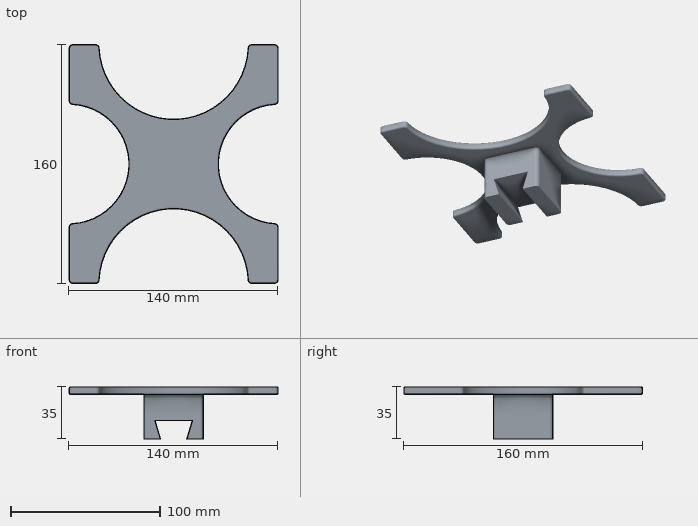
import cadquery as cq

plate_length_x = 140.0
plate_length_y = 160.0
plate_thickness = 5.0
end_bite_radius = 50.0
side_bite_radius = 40.0
plate_corner_radius = 2.5
plate_rim_radius = 1.0

block_side = 40.0
block_height = 30.0
block_corner_radius = 2.5

slot_depth = 12.5
slot_top_width = 25.0
slot_mouth_width = 17.5


def make_plate():
    """X-shaped plate with its underside at Z = 0."""
    plate = cq.Workplane("XY").rect(plate_length_x, plate_length_y).extrude(plate_thickness)
    end_bites = (
        cq.Workplane("XY")
        .pushPoints([(0, -plate_length_y / 2), (0, plate_length_y / 2)])
        .circle(end_bite_radius)
        .extrude(plate_thickness)
    )
    side_bites = (
        cq.Workplane("XY")
        .pushPoints([(-plate_length_x / 2, 0), (plate_length_x / 2, 0)])
        .circle(side_bite_radius)
        .extrude(plate_thickness)
    )
    plate = plate.cut(end_bites).cut(side_bites)
    plate = plate.edges("|Z").fillet(plate_corner_radius)
    return plate.faces("<Z or >Z").edges().fillet(plate_rim_radius)


def make_dovetail_slot():
    """Slot volume, widest at its top and open at the bottom of the block."""
    mouth_z = -block_height
    top_z = mouth_z + slot_depth
    return (
        cq.Workplane("XZ")
        .polyline([
            (-slot_mouth_width / 2, mouth_z),
            (slot_mouth_width / 2, mouth_z),
            (slot_top_width / 2, top_z),
            (-slot_top_width / 2, top_z),
        ])
        .close()
        .extrude(block_side / 2, both=True)
    )


def make_block():
    """Square block with rounded upright edges, touching the plate at Z = 0."""
    block = cq.Workplane("XY").rect(block_side, block_side).extrude(-block_height)
    block = block.edges("|Z").fillet(block_corner_radius)
    return block.cut(make_dovetail_slot())


plate = make_plate()
block = make_block()

result = cq.Compound.makeCompound([plate.val(), block.val()])